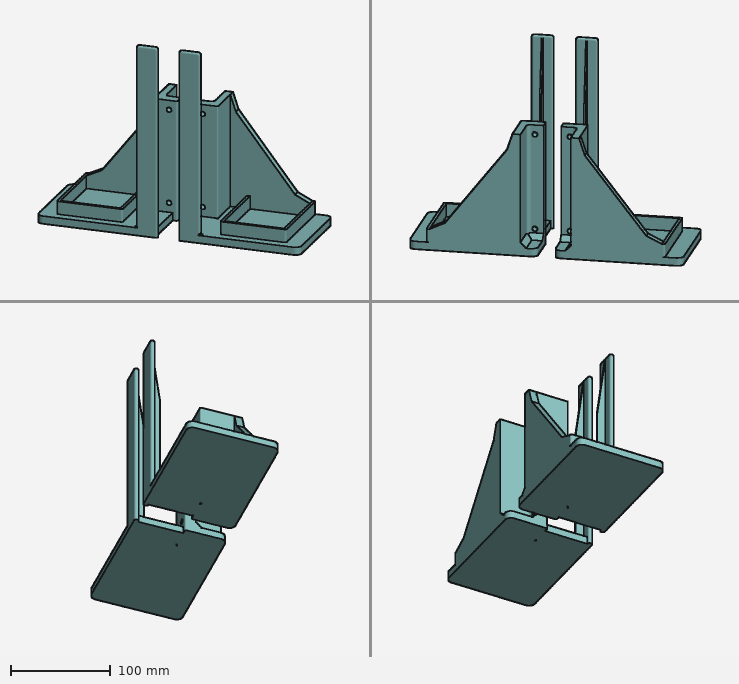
import cadquery as cq


outer_x = 140.0
depth = 98.0
base_height = 8.5
base_inner_x = 14.0
base_corner_radius = 6.7

column_inner_x = 9.0
column_outer_x = 34.2
column_front_y = 53.0
column_top_z = 128.0
side_arm_thickness = 8.5
front_arm_thickness = 11.8
edge_radius = 2.0
column_outer_edge_radius = 1.5
pocket_radius = 4.5
foot_chamfer = 6.0

hole_diameter = 5.0
hole_x = 18.0
hole_edge_distance = 10.0

tray_inner_x = 52.0
tray_outer_x = 122.2
tray_front_y = 10.0
tray_top_z = 22.0
tray_wall = 3.0

gusset_thickness = 8.5
gusset_upper_bend = (40.0, 110.5)
gusset_lower_bend = (103.0, 29.7)

post_inner_x = 11.2
post_outer_x = column_outer_x
post_height = 203.0
post_thickness = 5.0
post_corner_radius = 3.0
post_edge_radius = 2.38
post_foot = 1.7

rib_thickness = 1.7
rib_back_y = 14.0
rib_taper_z = 133.5


def block(x_min, x_max, y_min, y_max, z_min, z_max):
    """Box between the given limits."""
    return cq.Workplane("XY").box(
        x_max - x_min, y_max - y_min, z_max - z_min, centered=False
    ).translate((x_min, y_min, z_min))


def make_base():
    """Plate with rounded outer corners, its inner edge set back from the column."""
    plate = block(base_inner_x, outer_x, 0, depth, 0, base_height)
    plate = plate.edges("|Z and >X").fillet(base_corner_radius)
    column_space = block(base_inner_x, column_outer_x, column_front_y, depth, 0, base_height)
    return plate.cut(column_space)


def make_column():
    """L-shaped column with its own floor and chamfer strips inside the pocket."""
    column = block(column_inner_x, column_outer_x, column_front_y, depth, 0, column_top_z)
    column = column.edges("|Z and <X and <Y").fillet(edge_radius)
    column = column.edges("|Z and <X and >Y").fillet(base_corner_radius)
    column = column.edges("|Z and >X and <Y").fillet(column_outer_edge_radius)
    pocket_outer_x = column_outer_x - side_arm_thickness
    pocket_front_y = column_front_y + front_arm_thickness
    pocket = block(column_inner_x, pocket_outer_x, pocket_front_y, depth, base_height, column_top_z)
    pocket = pocket.edges("|Z and >X and <Y").fillet(pocket_radius)
    column = column.cut(pocket)

    front_strip = (
        cq.Workplane("YZ", origin=(column_inner_x, pocket_front_y, base_height))
        .polyline([(0, 0), (foot_chamfer, 0), (0, foot_chamfer)]).close()
        .extrude(pocket_outer_x - column_inner_x)
    )
    side_strip = (
        cq.Workplane("XZ", origin=(pocket_outer_x, depth, base_height))
        .polyline([(0, 0), (-foot_chamfer, 0), (0, foot_chamfer)]).close()
        .extrude(depth - pocket_front_y)
    )
    return column.union(front_strip).union(side_strip)


def make_screw_holes():
    """Cutters for the two holes through the front arm."""
    heights = (base_height + hole_edge_distance, column_top_z - hole_edge_distance)
    return (
        cq.Workplane("XZ", origin=(0, column_front_y, 0))
        .pushPoints([(hole_x, height) for height in heights])
        .circle(hole_diameter / 2)
        .extrude(-front_arm_thickness)
    )


def make_tray():
    """Shallow rim standing on the base."""
    rim = block(tray_inner_x, tray_outer_x, tray_front_y, depth, base_height, tray_top_z)
    rim = rim.edges("|Z").fillet(edge_radius)
    opening = block(
        tray_inner_x + tray_wall, tray_outer_x - tray_wall,
        tray_front_y + tray_wall, depth, base_height, tray_top_z,
    )
    return rim.cut(opening)


def make_gusset():
    """Back wall falling from the column top to the outer tray wall."""
    tray_end_x = tray_outer_x - tray_wall
    return (
        cq.Workplane("XZ", origin=(0, depth, 0))
        .moveTo(column_outer_x, base_height)
        .lineTo(column_outer_x, column_top_z)
        .lineTo(*gusset_upper_bend)
        .lineTo(*gusset_lower_bend)
        .lineTo(tray_end_x, tray_top_z)
        .lineTo(tray_end_x, base_height)
        .close()
        .extrude(gusset_thickness)
    )


def make_post():
    """Thin post with rounded edges, flaring out where its outer side meets the base."""
    foot_x = post_outer_x + post_foot
    post = (
        cq.Workplane("XZ")
        .moveTo(post_inner_x, 0)
        .lineTo(post_inner_x, post_height)
        .lineTo(post_outer_x, post_height)
        .lineTo(post_outer_x, base_height + post_foot)
        .lineTo(foot_x, base_height)
        .lineTo(foot_x, 0)
        .close()
        .extrude(-post_thickness)
    )
    post = post.edges("|Y and >Z").fillet(post_corner_radius)
    return post.faces("<Y or >Y").edges("not <Z").fillet(post_edge_radius)


def make_rib():
    """Thin rib along the middle of the post, tapering to the post top."""
    middle_x = (post_inner_x + post_outer_x) / 2
    rib_front_y = post_thickness / 2
    taper_top_z = post_height - post_corner_radius
    return (
        cq.Workplane("YZ", origin=(middle_x - rib_thickness / 2, 0, 0))
        .moveTo(rib_front_y, base_height)
        .lineTo(rib_back_y, base_height)
        .lineTo(rib_back_y, rib_taper_z)
        .lineTo(post_thickness, taper_top_z)
        .lineTo(rib_front_y, taper_top_z)
        .close()
        .extrude(rib_thickness)
    )


def make_holder():
    """Complete right-hand holder."""
    holder = make_base().union(make_column())
    for feature in (make_tray(), make_gusset(), make_post(), make_rib()):
        holder = holder.union(feature)
    return holder.cut(make_screw_holes())


right_holder = make_holder()
left_holder = right_holder.mirror("YZ")

result = cq.Compound.makeCompound([right_holder.val(), left_holder.val()])